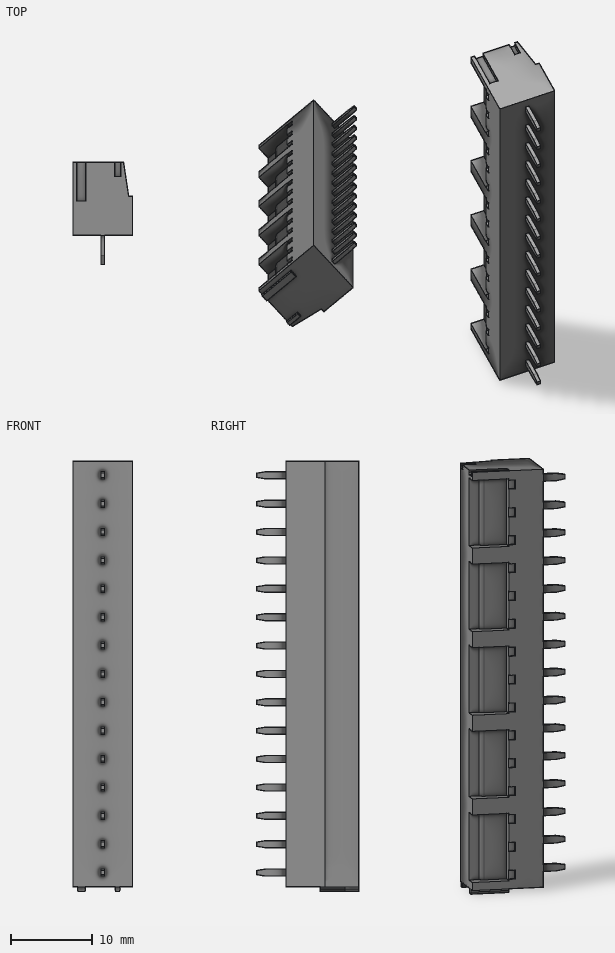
import cadquery as cq

width = 7.4
depth = 9.0
overall_height = 53.05
key_height = 0.6
body_height = overall_height - key_height

poles = 15
poles_per_window = 3
windows = poles // poles_per_window
pitch = body_height / poles
window_pitch = pitch * poles_per_window

slope_back_x = 6.25
slope_front_x = 6.9
slope_length = 4.2

rib_height = 2.0
window_height = window_pitch - rib_height
window_length = 4.65
window_deep = 1.75
window_shallow = 1.3
window_ramp_start = 1.25
window_ramp_end = 1.8
window_ramp_radius = 0.75

notch_length = 0.8
notch_height = 1.1
notch_depth = 0.35

pin_length = 3.6
pin_thickness = 0.5
pin_height = 0.9
pin_tip_height = 0.55
pin_taper_length = 1.1

wide_key_x = 1.05
wide_key_width = 0.9
wide_key_length = 4.8
narrow_key_x = 5.5
narrow_key_width = 0.55
narrow_key_length = 1.75
key_bulge = 0.065
key_tip_inset = 0.025
slot_clearance = 0.1


def box(x, y, z, dx, dy, dz):
    """Box with its lowest corner at (x, y, z)."""
    return cq.Workplane("XY").box(dx, dy, dz, centered=False).translate((x, y, z))


def prism(outline, bottom, height):
    """Vertical prism over an XY outline."""
    return cq.Workplane("XY", origin=(0, 0, bottom)).polyline(outline).close().extrude(height)


def make_housing():
    outline = [
        (0, 0),
        (width, 0),
        (width, depth - slope_length),
        (slope_front_x, depth - slope_length),
        (slope_back_x, depth),
        (0, depth),
    ]
    return prism(outline, 0, body_height)


def make_window(center_z):
    ramp_back = (window_deep, depth - window_ramp_start)
    ramp_front = (window_shallow, depth - window_ramp_end)
    front_y = depth - window_length
    outline = (
        cq.Workplane("XY", origin=(0, 0, center_z - window_height / 2))
        .moveTo(0, depth)
        .lineTo(window_deep, depth)
        .lineTo(*ramp_back)
        .radiusArc(ramp_front, -window_ramp_radius)
        .lineTo(window_shallow, front_y)
        .lineTo(0, front_y)
        .close()
    )
    return outline.extrude(window_height)


def make_notch(center_z):
    front_y = depth - window_length - notch_length
    return box(0, front_y, center_z - notch_height / 2, notch_depth, notch_length, notch_height)


def make_pin(center_z):
    half = pin_height / 2
    tip_half = pin_tip_height / 2
    taper_y = pin_taper_length - pin_length
    side = [
        (0, center_z - half),
        (taper_y, center_z - half),
        (-pin_length, center_z - tip_half),
        (-pin_length, center_z + tip_half),
        (taper_y, center_z + half),
        (0, center_z + half),
    ]
    left = (width - pin_thickness) / 2
    return cq.Workplane("YZ", origin=(left, 0, 0)).polyline(side).close().extrude(pin_thickness)


def make_key(center_x, root_width, length, root_z):
    """Rail along the back of the housing, hanging down from root_z."""
    root = root_width / 2
    bulge = root + key_bulge
    tip = root - key_tip_inset
    middle_z = root_z - key_height / 2
    tip_z = root_z - key_height
    section = [
        (center_x - root, root_z),
        (center_x - bulge, middle_z),
        (center_x - tip, tip_z),
        (center_x + tip, tip_z),
        (center_x + bulge, middle_z),
        (center_x + root, root_z),
    ]
    return cq.Workplane("XZ", origin=(0, depth, 0)).polyline(section).close().extrude(length)


def make_keys(root_z, clearance=0):
    wide = make_key(wide_key_x, wide_key_width + 2 * clearance, wide_key_length, root_z)
    narrow = make_key(narrow_key_x, narrow_key_width + 2 * clearance, narrow_key_length, root_z)
    return wide.union(narrow)


result = make_housing()
for window in range(windows):
    result = result.cut(make_window((window + 0.5) * window_pitch))
for pole in range(poles):
    pole_z = (pole + 0.5) * pitch
    result = result.cut(make_notch(pole_z))
    result = result.union(make_pin(pole_z))
result = result.cut(make_keys(body_height, slot_clearance))
result = result.union(make_keys(0))